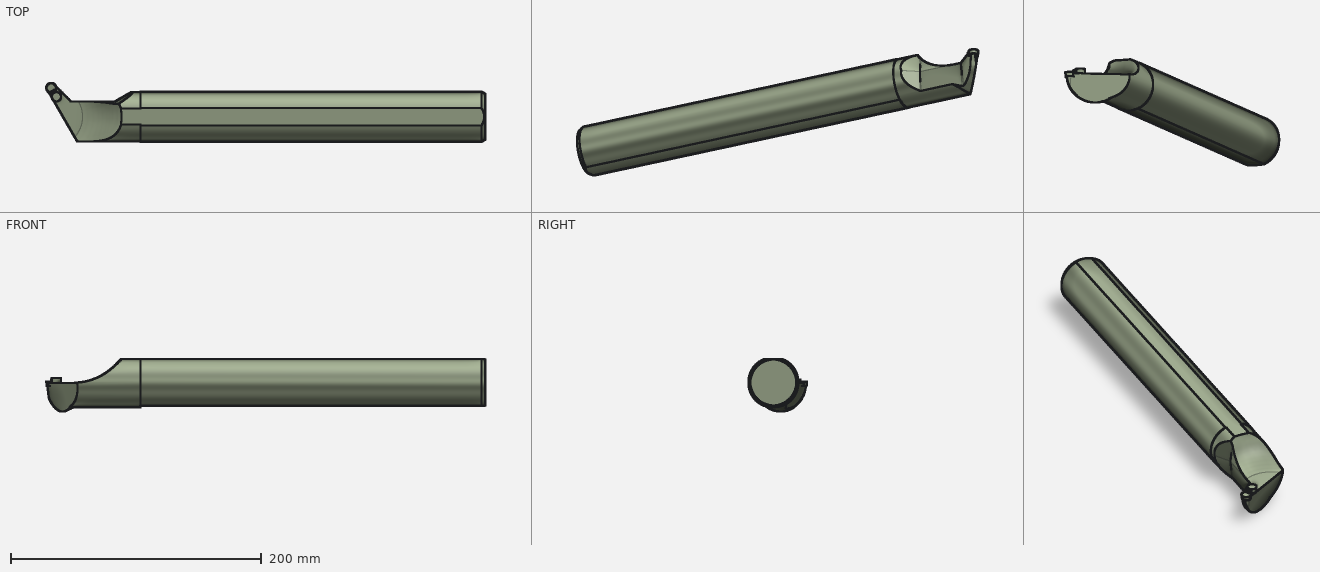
import cadquery as cq
import math


TOTAL_LENGTH = 350.0
HEAD_LENGTH = 75.0
SHANK_RADIUS = 20.0
FLAT_HEIGHT = 18.75
REAR_CHAMFER_LENGTH = 3.0
REAR_CHAMFER_ANGLE = 30.0
NECK_RADIUS = 19.8

INSERT_RADIUS = 4.0
INSERT_REACH = 27.0
INSERT_TOP = 0.75
INSERT_BOTTOM = -2.75
INSERT_CLEARANCE_ANGLE = 7.0
INSERT_X = INSERT_RADIUS
INSERT_Y = INSERT_REACH - INSERT_RADIUS

PLATFORM_Z = -0.25
HEAD_BOTTOM = -23.29
FACE_ANGLE = 60.0
FACE_CLEARANCE_ANGLE = 7.0
INSERT_OVERHANG = 0.5
NOSE_RADIUS = INSERT_RADIUS - INSERT_OVERHANG
BACK_EDGE_ANGLE = 45.0
RELIEF_Y = 12.3
RELIEF_END_X = 55.0
RELIEF_RAMP_ANGLE = 30.0
RELIEF_DRAFT = 10.0

BELLY_Y = 4.5
BELLY_TAPER = 15.0
BELLY_LENGTH = 25.0
BELLY_LEAD = 5.0

SCOOP_AXIS_X = 5.0
SCOOP_FLOOR_RADIUS = 24.0
SCOOP_TOP_RADIUS = 55.0

CLAMP_RADIUS = 3.75
CLAMP_SPACING = 8.2
CLAMP_TOP = 3.65
FINGER_WIDTH = 3.4
FINGER_REACH = 5.6
FINGER_TOP = 2.45

BIG = 100.0
ENVELOPE_MARGIN = 1.0

FACE_COS = math.cos(math.radians(FACE_ANGLE))
FACE_SIN = math.sin(math.radians(FACE_ANGLE))
FACE_IN = (FACE_SIN, FACE_COS)
FACE_ALONG = (FACE_COS, -FACE_SIN)


def move(point, direction, distance):
    return (point[0] + direction[0] * distance, point[1] + direction[1] * distance)


INSERT_CENTRE = (INSERT_X, INSERT_Y)
FACE_TANGENT = move(INSERT_CENTRE, FACE_IN, -NOSE_RADIUS)
RAMP_END = (
    RELIEF_END_X + (BIG - RELIEF_Y) / math.tan(math.radians(RELIEF_RAMP_ANGLE)),
    BIG,
)


def make_shank():
    chamfer_depth = REAR_CHAMFER_LENGTH * math.tan(math.radians(REAR_CHAMFER_ANGLE))
    length = TOTAL_LENGTH - HEAD_LENGTH
    bar = cq.Workplane("YZ").workplane(offset=HEAD_LENGTH).circle(SHANK_RADIUS).extrude(length)
    bar = bar.faces(">X").chamfer(REAR_CHAMFER_LENGTH, chamfer_depth)
    flats = cq.Workplane("XY").box(2 * TOTAL_LENGTH, BIG, 2 * FLAT_HEIGHT)
    return bar.intersect(flats)


def make_belly():
    """Tapered round body that starts on the front face and runs into the neck."""
    along = (FACE_TANGENT[1] - BELLY_Y) / FACE_SIN
    centre = move(FACE_TANGENT, FACE_ALONG, along)
    lean = math.radians(FACE_CLEARANCE_ANGLE)
    normal = (FACE_IN[0] * math.cos(lean), FACE_IN[1] * math.cos(lean), math.sin(lean))
    face_plane = cq.Plane(origin=(*centre, PLATFORM_Z), xDir=(*FACE_ALONG, 0), normal=normal)
    face_radius = (PLATFORM_Z - HEAD_BOTTOM) / math.cos(lean)
    lead_radius = face_radius + BELLY_LEAD * math.tan(math.radians(BELLY_TAPER))
    return (
        cq.Workplane(face_plane).workplane(offset=-BELLY_LEAD)
        .circle(lead_radius).extrude(BELLY_LEAD + BELLY_LENGTH, taper=BELLY_TAPER)
    )


def draw_head_outline():
    """Plan outline of the head at ledge height: nose, back edge, side wall, ramp and front face."""
    back_sin = math.sin(math.radians(BACK_EDGE_ANGLE))
    back_cos = math.cos(math.radians(BACK_EDGE_ANGLE))
    back_tangent = move(INSERT_CENTRE, (back_sin, back_cos), NOSE_RADIUS)
    nose_tip = move(INSERT_CENTRE, (-back_sin, back_cos), NOSE_RADIUS)
    back_edge_length = (back_tangent[1] - RELIEF_Y) / back_sin
    back_corner = move(back_tangent, (back_cos, -back_sin), back_edge_length)
    face_end = move(FACE_TANGENT, FACE_ALONG, BIG)
    return (
        cq.Workplane("XY").workplane(offset=PLATFORM_Z)
        .moveTo(*FACE_TANGENT)
        .threePointArc(nose_tip, back_tangent)
        .lineTo(*back_corner)
        .lineTo(RELIEF_END_X, RELIEF_Y)
        .lineTo(*RAMP_END)
        .lineTo(RAMP_END[0], face_end[1])
        .lineTo(*face_end)
        .close()
    )


def make_head_envelope():
    """Envelope of the head: upright above the ledge, leaning inward below it."""
    upper = draw_head_outline().extrude(SHANK_RADIUS - PLATFORM_Z)
    depth = PLATFORM_Z - HEAD_BOTTOM + ENVELOPE_MARGIN
    lower = draw_head_outline().extrude(-depth, taper=FACE_CLEARANCE_ANGLE)
    return upper.union(lower)


def make_draft_cutter():
    """Leaning side wall and ramp above the ledge."""
    return (
        cq.Workplane("XY").workplane(offset=PLATFORM_Z)
        .moveTo(-BIG, RELIEF_Y)
        .lineTo(RELIEF_END_X, RELIEF_Y)
        .lineTo(*RAMP_END)
        .lineTo(-BIG, BIG)
        .close()
        .extrude(SHANK_RADIUS - PLATFORM_Z, taper=-RELIEF_DRAFT)
    )


def make_scoop():
    """Turned cutter with a level floor that sweeps up in an arc to the upper flat."""
    run = SCOOP_TOP_RADIUS - SCOOP_FLOOR_RADIUS
    rise = FLAT_HEIGHT - PLATFORM_Z
    arc_radius = (run ** 2 + rise ** 2) / (2 * rise)
    half_sweep = math.atan2(rise, run)
    middle = (
        SCOOP_FLOOR_RADIUS + arc_radius * math.sin(half_sweep),
        PLATFORM_Z + arc_radius * (1 - math.cos(half_sweep)),
    )
    return (
        cq.Workplane("XZ", origin=(SCOOP_AXIS_X, 0, 0))
        .moveTo(0, PLATFORM_Z)
        .lineTo(SCOOP_FLOOR_RADIUS, PLATFORM_Z)
        .threePointArc(middle, (SCOOP_TOP_RADIUS, FLAT_HEIGHT))
        .lineTo(SCOOP_TOP_RADIUS, BIG)
        .lineTo(0, BIG)
        .close()
        .revolve(360, (0, 0, 0), (0, 1, 0))
    )


def make_head():
    neck = (
        cq.Workplane("YZ").workplane(offset=-BIG)
        .circle(NECK_RADIUS).extrude(BIG + HEAD_LENGTH)
    )
    above_flat = cq.Workplane("XY").workplane(offset=FLAT_HEIGHT).rect(2 * BIG, BIG).extrude(BIG)
    blank = neck.union(make_belly()).cut(above_flat)
    head = blank.intersect(make_head_envelope())
    return head.cut(make_draft_cutter()).cut(make_scoop())


def make_clamp():
    """Round button with a finger that rests on the insert."""
    clamp_centre = move(INSERT_CENTRE, FACE_ALONG, CLAMP_SPACING)
    button = (
        cq.Workplane("XY", origin=(*clamp_centre, PLATFORM_Z))
        .circle(CLAMP_RADIUS).extrude(CLAMP_TOP - PLATFORM_Z)
    )
    finger_plane = cq.Plane(origin=(*clamp_centre, INSERT_TOP), xDir=(*FACE_ALONG, 0), normal=(0, 0, 1))
    finger = (
        cq.Workplane(finger_plane)
        .center(-FINGER_REACH / 2, 0).rect(FINGER_REACH, FINGER_WIDTH)
        .extrude(FINGER_TOP - INSERT_TOP)
    )
    return button.union(finger)


def make_insert():
    return (
        cq.Workplane("XY", origin=(*INSERT_CENTRE, INSERT_TOP))
        .circle(INSERT_RADIUS)
        .extrude(INSERT_BOTTOM - INSERT_TOP, taper=INSERT_CLEARANCE_ANGLE)
    )


insert = make_insert()
holder = make_shank().union(make_head()).union(make_clamp()).cut(insert)

result = cq.Compound.makeCompound([holder.val(), insert.val()])